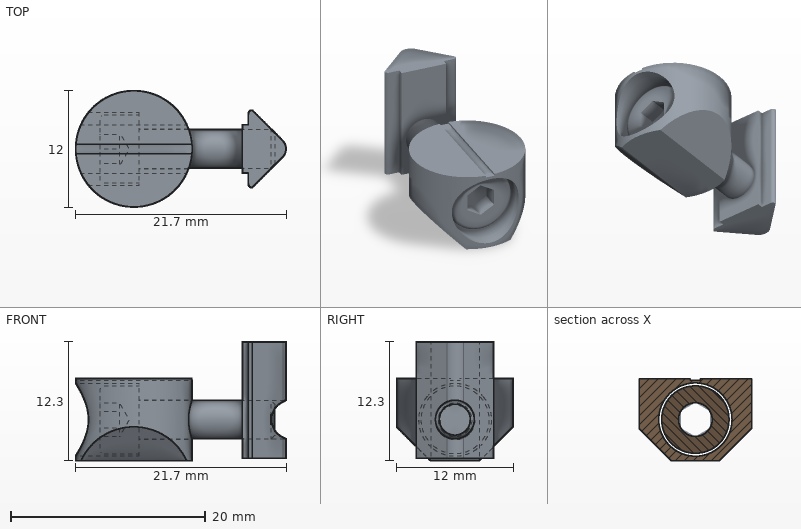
import cadquery as cq
import math


housing_diameter = 12.0
housing_height = 8.5
side_chamfer = 3.5
bore_diameter = 7.5
clearance_diameter = 4.1
groove_width = 1.0
groove_depth = 0.2

shank_diameter = 4.0
head_diameter = 7.0
head_length = 4.0
head_fillet = 0.4
head_face_x = -3.5
screw_end_x = 14.5
screw_end_chamfer = 0.4
hex_sides = 6
hex_across_flats = 3.0
hex_depth = 2.0
socket_cone_angle = 120.0

nut_length = 12.0
nut_bottom_z = -4.0
nut_neck_x = 11.18
nut_neck_width = 5.0
nut_neck_step = 0.6
nut_width = 8.0
nut_corner_radius = 0.4
nut_tip_x = 15.68

housing_radius = housing_diameter / 2
housing_top_z = housing_height / 2
hex_diameter = hex_across_flats / math.cos(math.radians(180 / hex_sides))
seat_x = head_face_x + head_length


def x_cylinder(diameter, start_x, end_x):
    """Cylinder on the screw axis between two X positions."""
    return cq.Workplane("YZ", origin=(start_x, 0, 0)).circle(diameter / 2).extrude(end_x - start_x)


def make_housing():
    body = cq.Workplane("XY", origin=(0, 0, -housing_top_z)).circle(housing_radius).extrude(housing_height)

    envelope = (
        cq.Workplane("XY")
        .box(housing_diameter, housing_diameter, housing_height)
        .edges("|X and <Z")
        .chamfer(side_chamfer)
    )
    body = body.intersect(envelope)

    groove_z = housing_top_z - groove_depth / 2
    groove = cq.Workplane("XY", origin=(0, 0, groove_z)).box(housing_diameter, groove_width, groove_depth)
    body = body.cut(groove)

    body = body.cut(x_cylinder(bore_diameter, -housing_radius, seat_x))
    return body.cut(x_cylinder(clearance_diameter, seat_x, housing_radius))


def make_screw():
    head = x_cylinder(head_diameter, head_face_x, seat_x).edges("<X").fillet(head_fillet)
    shank = x_cylinder(shank_diameter, seat_x, screw_end_x).edges(">X").chamfer(screw_end_chamfer)
    screw = head.union(shank)

    socket = (
        cq.Workplane("YZ", origin=(head_face_x, 0, 0))
        .transformed(rotate=(0, 0, 90))
        .polygon(hex_sides, hex_diameter)
        .extrude(hex_depth)
    )
    cone_radius = hex_diameter / 2
    cone_length = cone_radius / math.tan(math.radians(socket_cone_angle / 2))
    cone_base = cq.Vector(head_face_x + hex_depth, 0, 0)
    cone = cq.Solid.makeCone(cone_radius, 0, cone_length, cone_base, cq.Vector(1, 0, 0))
    return screw.cut(socket).cut(cq.Workplane(cone))


def make_nut():
    half_neck = nut_neck_width / 2
    half_width = nut_width / 2
    shoulder_x = nut_neck_x + nut_neck_step
    crest_x = shoulder_x + nut_corner_radius
    corner_y = half_width - nut_corner_radius
    diagonal = math.sqrt(0.5)
    corner_mid_x = crest_x - nut_corner_radius * diagonal
    corner_mid_y = corner_y + nut_corner_radius * diagonal

    flank_apex_x = crest_x + half_width
    tip_radius = (flank_apex_x - nut_tip_x) / (math.sqrt(2) - 1)
    tangent_y = tip_radius * diagonal
    tangent_x = flank_apex_x - tangent_y

    profile = (
        cq.Workplane("XY", origin=(0, 0, nut_bottom_z))
        .moveTo(nut_neck_x, -half_neck)
        .lineTo(shoulder_x, -half_neck)
        .lineTo(shoulder_x, -corner_y)
        .threePointArc((corner_mid_x, -corner_mid_y), (crest_x, -half_width))
        .lineTo(tangent_x, -tangent_y)
        .threePointArc((nut_tip_x, 0), (tangent_x, tangent_y))
        .lineTo(crest_x, half_width)
        .threePointArc((corner_mid_x, corner_mid_y), (shoulder_x, corner_y))
        .lineTo(shoulder_x, half_neck)
        .lineTo(nut_neck_x, half_neck)
        .close()
    )
    nut = profile.extrude(nut_length)
    return nut.cut(x_cylinder(shank_diameter, nut_neck_x, nut_tip_x))


housing = make_housing()
screw = make_screw()
nut = make_nut()

result = cq.Compound.makeCompound([housing.val(), screw.val(), nut.val()])